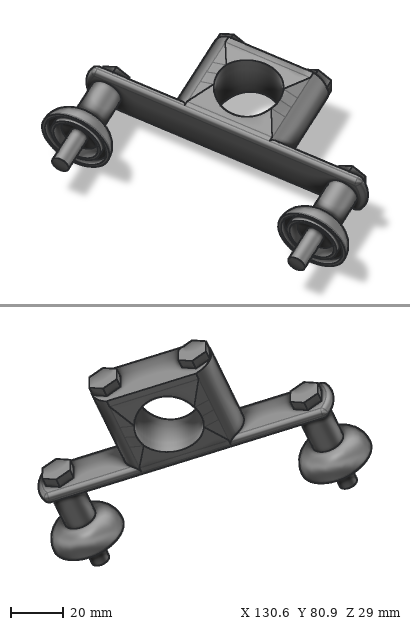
import cadquery as cq
import math

overall_length = 130.6
cup_diameter = 29.0
standoff_spacing = overall_length - cup_diameter
body_height = 19.3

plate_length = 120.8
plate_thickness = 4.5
plate_end_bulge = 3.1
plate_corner_radius = 2.4
plate_edge_land = 0.07

spacer_diameter = 12.7
spacer_length = 16.7
cup_depth = 8.9
cup_rim_width = 0.8
pin_diameter = 7.2
pin_projection = 12.7

outer_groove_diameter = 26.4
ring_outer_diameter = 21.4
ring_inner_diameter = 19.0
hub_diameter = 15.4
outer_groove_depth = 2.6
inner_groove_depth = 5.9
hub_recess = 3.1

hex_across_corners = 13.0
hex_thickness = 3.9

block_flat_width = 36.5
block_side_bulge = 6.4
block_back = 38.7
pipe_diameter = 26.6
pipe_center = 20.1

pad_length = 31.6
pad_height = 2.0
crest_half_length = 5.1

block_front = plate_thickness / 2
pipe_radius = pipe_diameter / 2


def bowed_profile(flat_width, bulge):
    """Flat top and bottom edges closed by a bowed arc at each end, in the XZ plane."""
    half_width = flat_width / 2
    half_height = body_height / 2
    tip = half_width + bulge
    return (
        cq.Workplane("XZ")
        .moveTo(-half_width, half_height)
        .lineTo(half_width, half_height)
        .threePointArc((tip, 0), (half_width, -half_height))
        .lineTo(-half_width, -half_height)
        .threePointArc((-tip, 0), (-half_width, half_height))
        .close()
    )


def make_plate():
    flat_width = plate_length - 2 * plate_end_bulge
    plate = bowed_profile(flat_width, plate_end_bulge).extrude(-plate_thickness)
    plate = plate.edges("|Y").fillet(plate_corner_radius)

    edge_rounding = (plate_thickness - plate_edge_land) / 2
    return plate.faces("<Y or >Y").edges().fillet(edge_rounding)


def make_block():
    depth = block_back - block_front
    block = bowed_profile(block_flat_width, block_side_bulge).extrude(-depth)
    return block.translate((0, block_front, 0))


def make_pad():
    """Hipped pad rising from Z = 0, centred on the pipe axis."""
    crest_half_width = math.sqrt(pipe_radius**2 - crest_half_length**2)
    hip = (
        cq.Workplane("XY")
        .rect(block_flat_width, pad_length)
        .workplane(offset=pad_height)
        .rect(2 * crest_half_width, 2 * crest_half_length)
        .loft(ruled=True)
    )

    def section(half_top, y):
        half_base = block_flat_width / 2
        points = [(-half_base, 0), (half_base, 0), (half_top, pad_height), (-half_top, pad_height)]
        return cq.Wire.makePolygon([cq.Vector(x, y, z) for x, z in points], close=True)

    sections = [
        section(crest_half_width, -crest_half_length),
        section(pipe_radius, 0),
        section(crest_half_width, crest_half_length),
    ]
    middle = cq.Solid.makeLoft(sections, True)
    return hip.union(cq.Workplane(middle))


def make_hex_head(x, y):
    """Hexagon head seated at Y = y, with corners pointing up and down."""
    head = cq.Workplane("XZ").polygon(6, hex_across_corners).extrude(-hex_thickness)
    return head.rotate((0, 0, 0), (0, 1, 0), 90).translate((x, y, 0))


def make_standoff(x):
    """Spacer, domed cup and pin, revolved as one half profile about the Y axis."""
    spacer_radius = spacer_diameter / 2
    cup_radius = cup_diameter / 2
    pin_radius = pin_diameter / 2
    dome_top = -spacer_length
    cup_mouth = dome_top - cup_depth
    pin_tip = cup_mouth - pin_projection
    outer_groove_floor = cup_mouth + outer_groove_depth
    inner_groove_floor = cup_mouth + inner_groove_depth
    hub_face = cup_mouth + hub_recess
    dome_bottom = cup_mouth + cup_rim_width
    dome_middle = (
        spacer_radius + (cup_radius - spacer_radius) * math.sqrt(0.5),
        dome_bottom + (dome_top - dome_bottom) * math.sqrt(0.5),
    )
    spacer_top = plate_thickness / 2
    standoff = (
        cq.Workplane("ZY")
        .moveTo(0, spacer_top)
        .lineTo(spacer_radius, spacer_top)
        .lineTo(spacer_radius, dome_top)
        .threePointArc(dome_middle, (cup_radius, dome_bottom))
        .lineTo(cup_radius, cup_mouth)
        .lineTo(outer_groove_diameter / 2, cup_mouth)
        .lineTo(outer_groove_diameter / 2, outer_groove_floor)
        .lineTo(ring_outer_diameter / 2, outer_groove_floor)
        .lineTo(ring_outer_diameter / 2, cup_mouth)
        .lineTo(ring_inner_diameter / 2, cup_mouth)
        .lineTo(ring_inner_diameter / 2, inner_groove_floor)
        .lineTo(hub_diameter / 2, inner_groove_floor)
        .lineTo(hub_diameter / 2, hub_face)
        .lineTo(pin_radius, hub_face)
        .lineTo(pin_radius, pin_tip)
        .lineTo(0, pin_tip)
        .close()
        .revolve(360, (0, 0, 0), (0, 1, 0))
    )
    return standoff.translate((x, 0, 0))


upper_pad = make_pad().translate((0, pipe_center, body_height / 2))
lower_pad = upper_pad.mirror("XY")
result = make_plate().union(make_block()).union(upper_pad).union(lower_pad)

bore_height = body_height + 2 * pad_height
bore = cq.Workplane("XY").circle(pipe_radius).extrude(bore_height)
result = result.cut(bore.translate((0, pipe_center, -bore_height / 2)))

for side in (-1, 1):
    standoff_x = side * standoff_spacing / 2
    result = result.union(make_standoff(standoff_x))
    result = result.union(make_hex_head(standoff_x, plate_thickness))
    result = result.union(make_hex_head(side * block_flat_width / 2, block_back))